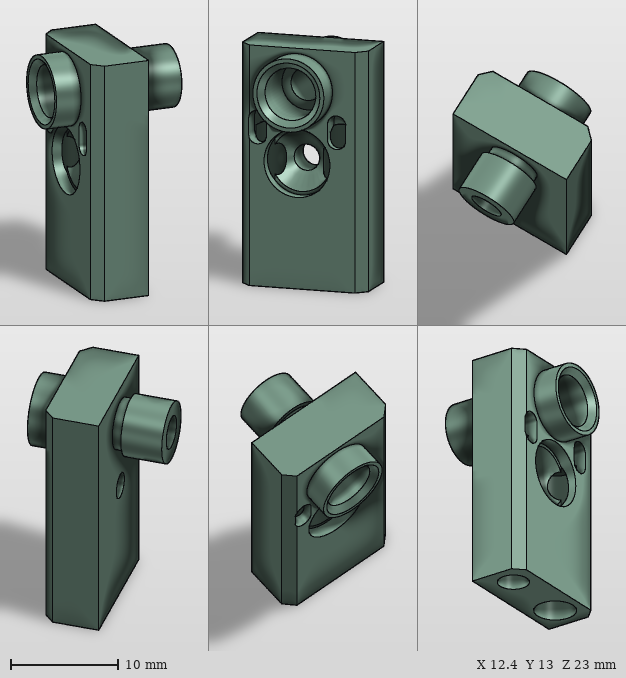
import cadquery as cq
import math

width = 12.4
thickness = 5.5
height = 23.0
edge_chamfer = 1.0

axis_x = -0.5
boss_z = height - 4.0
boss_diameter = 7.0
boss_length = 2.5
neck_diameter = 5.0
neck_length = 1.0
head_diameter = 6.0
head_length = 4.0
socket_diameter = 5.0
socket_depth = 5.5
socket_chamfer = 0.6
through_diameter = 3.2

screw_z = height - 11.0
recess_diameter = 6.5
recess_depth = 1.2
cone_diameter = 5.85
screw_hole_diameter = 2.5
cone_angle = 90.0

bore_depth = height - 8.0
bore_wall = 0.9
drill_point_angle = 118.0
left_bore_radius = 1.5
left_bore_y = 2.5
right_bore_radius = 2.0
right_bore_y = thickness / 2

slot_width = 1.8
slot_height = 3.2
slot_depth = 1.85
slot_spacing = 7.8
slot_z = height - 7.8


def cylinder_y(x, z, y_start, y_end, diameter):
    """Cylinder along +Y between two Y positions."""
    base = cq.Vector(x, y_start, z)
    solid = cq.Solid.makeCylinder(diameter / 2, y_end - y_start, base, cq.Vector(0, 1, 0))
    return cq.Workplane(obj=solid)


def cone_y(x, z, y_start, start_diameter, end_diameter, length):
    """Cone frustum along +Y, starting at a Y position."""
    base = cq.Vector(x, y_start, z)
    direction = cq.Vector(0, 1, 0)
    solid = cq.Solid.makeCone(start_diameter / 2, end_diameter / 2, length, base, direction)
    return cq.Workplane(obj=solid)


def make_block():
    block = cq.Workplane("XY").box(width, thickness, height, centered=(True, False, False))
    return block.faces("<Y").edges("|Z").chamfer(edge_chamfer)


def add_boss_and_spigot(body):
    neck_end = thickness + neck_length
    boss = cylinder_y(axis_x, boss_z, -boss_length, thickness, boss_diameter)
    neck = cylinder_y(axis_x, boss_z, thickness, neck_end, neck_diameter)
    head = cylinder_y(axis_x, boss_z, neck_end, neck_end + head_length, head_diameter)
    return body.union(boss).union(neck).union(head)


def cut_socket(body):
    front = -boss_length
    back = thickness + neck_length + head_length
    mouth_diameter = socket_diameter + 2 * socket_chamfer
    mouth = cone_y(axis_x, boss_z, front, mouth_diameter, socket_diameter, socket_chamfer)
    socket = cylinder_y(axis_x, boss_z, front, front + socket_depth, socket_diameter)
    through = cylinder_y(axis_x, boss_z, front, back, through_diameter)
    return body.cut(mouth).cut(socket).cut(through)


def cut_countersink(body):
    slope = math.tan(math.radians(cone_angle / 2))
    cone_length = (cone_diameter - screw_hole_diameter) / 2 / slope
    recess = cylinder_y(axis_x, screw_z, 0, recess_depth, recess_diameter)
    cone = cone_y(axis_x, screw_z, recess_depth, cone_diameter, screw_hole_diameter, cone_length)
    hole = cylinder_y(axis_x, screw_z, 0, thickness, screw_hole_diameter)
    return body.cut(recess).cut(cone).cut(hole)


def drilled_bore(x, y, radius):
    """Blind bore with a conical drill point, as a revolved half profile."""
    point_length = radius / math.tan(math.radians(drill_point_angle / 2))
    profile = cq.Workplane("XZ", origin=(x, y, 0)).polyline(
        [(0, 0), (radius, 0), (radius, bore_depth), (0, bore_depth + point_length)]
    )
    return profile.close().revolve(360, (0, 0, 0), (0, 1, 0))


def cut_bores(body):
    left_x = -width / 2 + bore_wall + left_bore_radius
    right_x = width / 2 - bore_wall - right_bore_radius
    left_bore = drilled_bore(left_x, left_bore_y, left_bore_radius)
    right_bore = drilled_bore(right_x, right_bore_y, right_bore_radius)
    return body.cut(left_bore).cut(right_bore)


def cut_slots(body):
    for side in (-1, 1):
        centre = (axis_x + side * slot_spacing / 2, 0, slot_z)
        outline = cq.Workplane("XZ", origin=centre).slot2D(slot_height, slot_width, 90)
        body = body.cut(outline.extrude(-slot_depth))
    return body


result = make_block()
result = add_boss_and_spigot(result)
result = cut_socket(result)
result = cut_countersink(result)
result = cut_bores(result)
result = cut_slots(result)